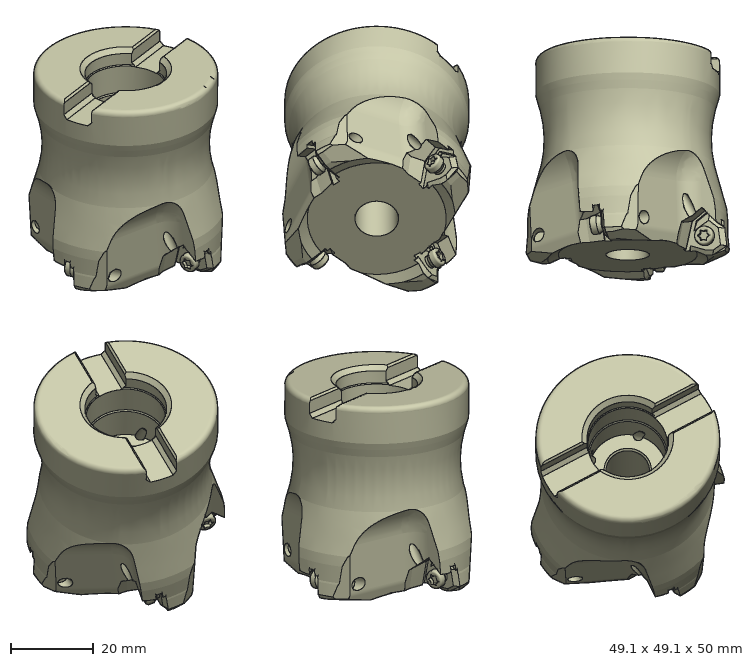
import cadquery as cq
import math

TEETH = 4
height = 50.0

shank_radius = 22.2
shank_bottom_z = 40.85
shank_top_fillet = 1.4
shoulder_radius = 21.75
shoulder_z = 39.2
neck_start_radius = 21.15
neck_start_z = 37.2
neck_radius = 20.2
neck_z = 30.5
flare_start_radius = 20.95
flare_start_z = 23.1
flare_end_radius = 23.9
flare_end_z = 12.35
head_top_radius = 24.15
head_top_z = 9.8
head_groove_top_z = 6.6
head_groove_bottom_z = 5.5
land_top_z = 5.05
land_top_radius = 24.25
head_groove_radius = 24.15
tip_radius = 24.55
tip_z = 2.0
tip_chamfer_radius = 24.0
tip_chamfer_z = 0.95
foot_outer_radius = 20.9
foot_inner_radius = 19.3
core_radius = 16.75
core_z = 1.15

bore_radius = 9.6
bore_mouth_radius = 9.85
bore_mouth_chamfer_radius = 11.05
bore_mouth_chamfer_depth = 1.2
bore_mouth_z = 45.75
bore_lower_radius = 9.3
bore_lower_z = 38.0
bore_ledge_z = 30.0
through_radius = 5.25
through_chamfer = 0.45

slot_width = 7.9
slot_depth = 4.65
slot_floor_chamfer = 1.0
slot_edge_chamfer = 0.5

axial_lean = 5.5
lean_pivot_z = 4.2
gullet_wall_y = -5.45
gullet_corner_x = 16.4
gullet_floor_angle = 26.5
gullet_fillet = 5.9
gullet_top_z = 17.1
gullet_top_radius = 10.4
gullet_bevel_z = 4.5
gullet_bevel_blend = 0.55
gullet_bevel_angle = 15.0
gullet_bottom_z = -7.5

relief_azimuth = 34.0
relief_distance = 22.6
relief_tilt = 2.9
relief_top_z = 15.0
relief_half_width = 12.5
foot_bevel_start = 18.65
foot_bevel_height = 1.5

seat_y = -0.4
seat_height = 0.85
pocket_mouth_y = -6.0
pocket_undercut = 1.0
pocket_undercut_depth = 1.7

screw_x = 19.85
screw_radius = 1.6
screw_head_radius = 2.3
screw_head_y = -3.8
screw_head_height = 1.75
screw_head_round = 0.5
screw_neck_length = 1.0
screw_end_y = 7.0
screw_hole_end_y = 17.5
torx_tip_radius = 1.45
torx_valley_radius = 1.05
torx_lobes = 6
torx_depth = 1.0

coolant_radius = 1.15
coolant_inlet = (6.6, -6.6, bore_ledge_z)
coolant_target = (18.4, -7.0, 7.75)
coolant_overrun = 3.0

reach = 30.0


def lean(shape):
    """Tip a feature of the +X tooth about the radial X axis by the axial lean."""
    return shape.rotate((0, 0, lean_pivot_z), (1, 0, lean_pivot_z), axial_lean)


def around(shape, index):
    """Copy a feature of the +X tooth to another tooth."""
    return shape.rotate((0, 0, 0), (0, 0, 1), index * 360 / TEETH)


def blank():
    """The turned outside of the cutter, before any gullet is cut."""
    profile = (
        cq.Workplane("XZ")
        .moveTo(0, core_z)
        .lineTo(core_radius, core_z)
        .lineTo(foot_inner_radius, 0)
        .lineTo(foot_outer_radius, 0)
        .lineTo(tip_chamfer_radius, tip_chamfer_z)
        .lineTo(tip_radius, tip_z)
        .lineTo(land_top_radius, land_top_z)
        .lineTo(head_groove_radius, head_groove_bottom_z)
        .lineTo(head_groove_radius, head_groove_top_z)
        .lineTo(head_top_radius, head_top_z)
        .lineTo(flare_end_radius, flare_end_z)
        .lineTo(flare_start_radius, flare_start_z)
        .threePointArc((neck_radius, neck_z), (neck_start_radius, neck_start_z))
        .lineTo(shoulder_radius, shoulder_z)
        .lineTo(shank_radius, shank_bottom_z)
        .lineTo(shank_radius, height)
        .lineTo(0, height)
        .close()
    )
    solid = profile.revolve(360, (0, 0, 0), (0, 1, 0))
    return solid.faces(">Z").edges().fillet(shank_top_fillet)


def bore():
    """The stepped arbor bore with its ledge and the through hole below it."""
    return (
        cq.Workplane("XZ")
        .moveTo(0, -0.5)
        .lineTo(through_radius, -0.5)
        .lineTo(through_radius, bore_ledge_z - through_chamfer)
        .lineTo(through_radius + through_chamfer, bore_ledge_z)
        .lineTo(bore_lower_radius, bore_ledge_z)
        .lineTo(bore_lower_radius, bore_lower_z)
        .lineTo(bore_radius, bore_lower_z + bore_radius - bore_lower_radius)
        .lineTo(bore_radius, bore_mouth_z - (bore_mouth_radius - bore_radius))
        .lineTo(bore_mouth_radius, bore_mouth_z)
        .lineTo(bore_mouth_radius, height - bore_mouth_chamfer_depth)
        .lineTo(bore_mouth_chamfer_radius, height)
        .lineTo(0, height)
        .close()
        .revolve(360, (0, 0, 0), (0, 1, 0))
    )


def driving_slot():
    half = slot_width / 2
    floor_z = height - slot_depth
    outline = [
        (half - slot_floor_chamfer, floor_z),
        (half, floor_z + slot_floor_chamfer),
        (half, height - slot_edge_chamfer),
        (half + slot_edge_chamfer, height),
    ]
    mirrored = [(-x, z) for x, z in reversed(outline)]
    return cq.Workplane("XZ").polyline(outline + mirrored).close().extrude(reach, both=True)


def gullet():
    """Chip space in front of the +X tooth: an oblique floor, a curved roof and the tooth face."""
    angle = math.radians(gullet_floor_angle)
    along = cq.Vector(math.sin(angle), math.cos(angle), 0)
    outward = cq.Vector(math.cos(angle), -math.sin(angle), 0)
    bevel_slope = math.tan(math.radians(gullet_bevel_angle))
    bevel_run = (gullet_bevel_z - gullet_bottom_z) * bevel_slope
    blend_run = gullet_bevel_blend * bevel_slope
    roof_z = gullet_top_z + gullet_top_radius
    arc_rise = gullet_top_radius * math.sin(math.radians(45))
    arc_middle = (gullet_top_radius - arc_rise, gullet_top_z + arc_rise)
    side = cq.Plane(origin=(gullet_corner_x, gullet_wall_y, 0), xDir=outward, normal=-along)
    profile = (
        cq.Workplane(side)
        .moveTo(-bevel_run, gullet_bottom_z)
        .lineTo(-blend_run, gullet_bevel_z - gullet_bevel_blend)
        .tangentArcPoint((0, gullet_bevel_z + gullet_bevel_blend), relative=False)
        .lineTo(0, gullet_top_z)
        .threePointArc(arc_middle, (gullet_top_radius, roof_z))
        .lineTo(reach, roof_z)
        .lineTo(reach, gullet_bottom_z)
        .close()
    )
    swept = profile.extrude(reach, both=True)
    in_front = cq.Workplane("XY").box(4 * reach, 2 * reach, 4 * reach)
    cutter = swept.intersect(in_front.translate((0, gullet_wall_y - reach, 0)))
    corner_area = cq.selectors.BoxSelector(
        (-reach, gullet_wall_y - 0.5, -reach),
        (gullet_corner_x + gullet_top_radius, gullet_wall_y + 0.5, roof_z - 0.5),
    )
    corner = cutter.faces(">Y").edges(corner_area)
    return lean(corner.fillet(gullet_fillet))


def relief_flat():
    """A leaning flat at the back of the tooth with a rising bevel under it."""
    flat_run = (relief_top_z - foot_bevel_height) * math.tan(math.radians(relief_tilt))
    profile = [
        (foot_bevel_start, -0.5),
        (foot_bevel_start, 0),
        (relief_distance, foot_bevel_height),
        (relief_distance + flat_run, relief_top_z),
        (reach, relief_top_z),
        (reach, -0.5),
    ]
    cutter = cq.Workplane("XZ").polyline(profile).close().extrude(relief_half_width, both=True)
    return cutter.rotate((0, 0, 0), (0, 0, 1), relief_azimuth)


def seat_outline():
    """Pocket walls where they meet the seat, left wide open downward and outward."""
    corners = [(14.45, -2.5), (17.3, 8.3), (20.25, 10.45), (30, 0.25), (30, -2.5)]
    return cq.Workplane("XZ", origin=(0, seat_y, 0)).polyline(corners).close()


def insert_pocket():
    """Drafted walls down to a flat seat, which is bevelled along its edges."""
    mouth = [(13.3, -2.5), (15.5, 7.3), (20.0, 10.7), (30, 0.25), (30, -2.5)]
    walls = (
        seat_outline()
        .workplane(offset=seat_y - pocket_mouth_y)
        .polyline(mouth)
        .close()
        .loft(ruled=True)
    )
    opening = cq.Workplane("XZ", origin=(0, pocket_mouth_y, 0)).polyline(mouth).close().extrude(reach)
    undercut = seat_outline().offset2D(pocket_undercut).extrude(pocket_undercut_depth)
    bevel_slab = seat_outline().extrude(-seat_height)
    seat = (
        cq.Workplane("XZ", origin=(0, seat_y + seat_height, 0))
        .polyline([(14.45, 6.5), (20.25, 10.45), (24.2, 6.3), (24.6, 1.95), (21, -0.1), (19.3, 0), (14.45, 1.25)])
        .close()
        .workplane(offset=seat_height)
        .polyline([(14.45, 4.5), (20.4, 8.3), (22.7, 6.35), (23.2, 2.1), (21.4, 1), (19.55, 1.05), (14.45, 2.8)])
        .close()
        .loft(ruled=True)
    )
    return lean(walls.union(opening).union(undercut).union(bevel_slab.cut(seat)))


def rod(radius, start_y, end_y):
    """A cylinder on the screw axis of the +X tooth."""
    return cq.Workplane("XZ", origin=(screw_x, start_y, lean_pivot_z)).circle(radius).extrude(start_y - end_y)


def screw_hole():
    return lean(rod(screw_radius, seat_y - 0.5, screw_hole_end_y))


def coolant_channel():
    """A slanted hole from the bore ledge into the gullet, aimed at the pocket."""
    start = cq.Vector(*coolant_inlet)
    path = cq.Vector(*coolant_target) - start
    direction = path.normalized()
    length = path.Length + coolant_overrun
    channel = cq.Solid.makeCylinder(coolant_radius, length, start - direction * coolant_overrun, direction)
    return cq.Workplane(channel)


def cutter_body():
    body = blank().cut(bore()).cut(driving_slot())
    tools = [gullet(), relief_flat(), insert_pocket(), screw_hole(), coolant_channel()]
    for index in range(TEETH):
        for tool in tools:
            body = body.cut(around(tool, index))
    return body


def torx_socket():
    points = []
    for point in range(2 * torx_lobes):
        angle = math.pi * point / torx_lobes
        radius = torx_valley_radius if point % 2 else torx_tip_radius
        points.append((radius * math.cos(angle), radius * math.sin(angle)))
    return (
        cq.Workplane("XZ", origin=(screw_x, screw_head_y, lean_pivot_z))
        .spline(points, periodic=True)
        .close()
        .extrude(-torx_depth)
    )


def screw():
    """Clamping screw of the +X tooth, its head standing proud of the seat."""
    neck_y = screw_head_y + screw_head_height
    head = rod(screw_head_radius, screw_head_y, neck_y).faces("<Y").edges().fillet(screw_head_round)
    shank = rod(screw_radius, neck_y, screw_end_y)
    neck = (
        cq.Workplane("XZ", origin=(screw_x, neck_y, lean_pivot_z))
        .circle(screw_head_radius)
        .workplane(offset=-screw_neck_length)
        .circle(screw_radius)
        .loft()
    )
    return lean(head.union(neck).union(shank).cut(torx_socket()))


body = cutter_body()
screws = [around(screw(), index) for index in range(TEETH)]
result = cq.Compound.makeCompound([body.val(), *[one.val() for one in screws]])